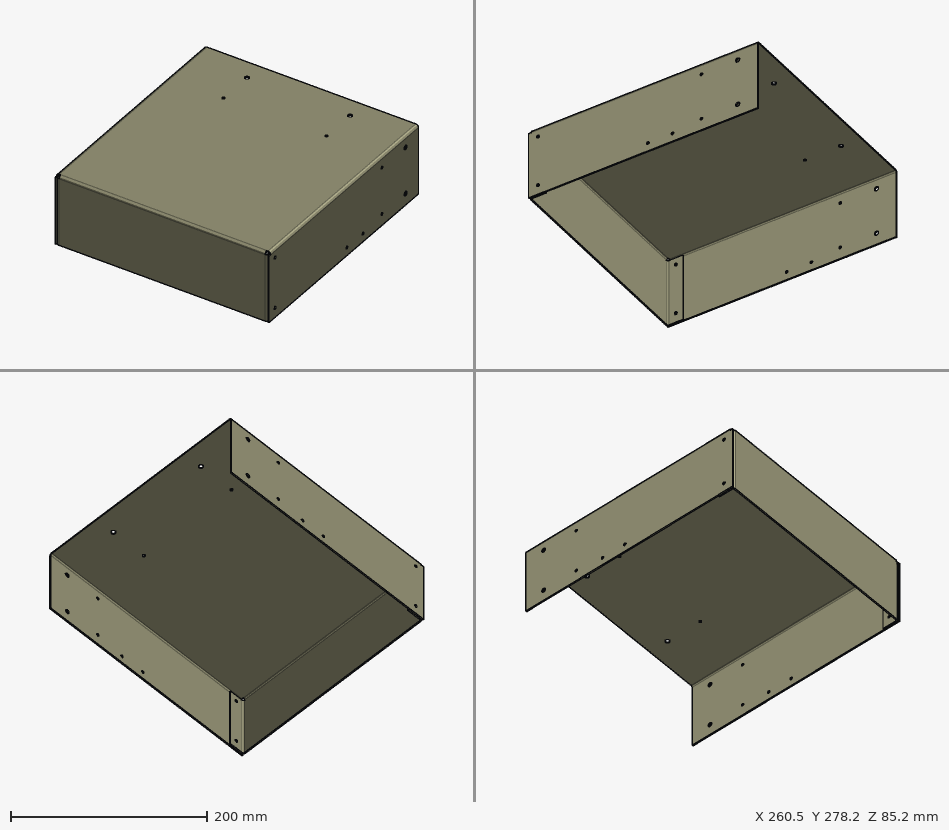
import cadquery as cq


width = 260.48
depth = 278.18
height = 85.24
sheet = 1.59
inner_radius = sheet
tab_gap = 0.06
tab_length = 20.0

large_dia = 5.0
small_dia = 3.0
tab_dia = 3.3

large_from_back = 24.0
small_from_back = 68.0
top_hole_spacing = 125.5
wall_hole_spacing = 56.8
lower_from_back = (103.2, 133.2)
lower_hole_z = 10.0
tab_hole_y = 11.4
tab_hole_spacing = 62.0

bend_radius = inner_radius + sheet
half_width = width / 2
mid_height = height / 2
bend_start_z = height - bend_radius
panel_half_width = half_width - sheet - tab_gap
relief_half_width = panel_half_width - bend_radius


def box(x_range, y_range, z_range):
    """Axis-aligned box from its limits along X, Y and Z."""
    (x0, x1), (y0, y1), (z0, z1) = x_range, y_range, z_range
    return cq.Workplane("XY").box(x1 - x0, y1 - y0, z1 - z0, centered=False).translate((x0, y0, z0))


def make_channel():
    """Top and side walls: an upside-down U running front to back."""
    outer = box((-half_width, half_width), (0, depth), (0, height))
    outer = outer.edges(">Z and |Y").fillet(bend_radius)
    inner_half = half_width - sheet
    inner = box((-inner_half, inner_half), (0, depth), (0, height - sheet))
    inner = inner.edges(">Z and |Y").fillet(inner_radius)
    front_strip = box((-half_width, half_width), (0, bend_radius), (bend_start_z, height))
    return outer.cut(inner).cut(front_strip)


def make_front_panel():
    """Front panel with the bend that joins it to the top."""
    x_range = (-relief_half_width, relief_half_width)
    outer = box(x_range, (0, depth), (0, height))
    outer = outer.edges(">Z and <Y").fillet(bend_radius)
    inner = box(x_range, (sheet, depth), (0, height - sheet))
    inner = inner.edges(">Z and <Y").fillet(inner_radius)
    front_strip = box(x_range, (0, bend_radius), (0, height))
    return outer.cut(inner).intersect(front_strip)


def make_tabs():
    """Tabs folded back from both ends of the front panel."""
    outer = box((-panel_half_width, panel_half_width), (0, tab_length), (0, bend_start_z))
    outer = outer.edges("<Y and |Z").fillet(bend_radius)
    inner_half = panel_half_width - sheet
    inner = box((-inner_half, inner_half), (sheet, tab_length), (0, bend_start_z))
    inner = inner.edges("<Y and |Z").fillet(inner_radius)
    return outer.cut(inner)


def drill_top(body, x, y, diameter):
    """Drill one hole through the top."""
    drill = cq.Workplane("XY", origin=(x, y, bend_start_z)).circle(diameter / 2).extrude(bend_radius)
    return body.cut(drill)


def drill_walls(body, y, z, diameter):
    """Drill one line through both side walls, and through the tabs where they overlap."""
    drill = cq.Workplane("YZ", origin=(-half_width, y, z)).circle(diameter / 2).extrude(width)
    return body.cut(drill)


def drill_rear_holes(body):
    """Large and small hole pairs near the back of the top and of each side wall."""
    for from_back, diameter in ((large_from_back, large_dia), (small_from_back, small_dia)):
        y = depth - from_back
        for side in (-1, 1):
            body = drill_top(body, side * top_hole_spacing / 2, y, diameter)
            body = drill_walls(body, y, mid_height + side * wall_hole_spacing / 2, diameter)
    return body


def drill_lower_holes(body):
    """Small holes along the lower edge of each side wall."""
    for from_back in lower_from_back:
        body = drill_walls(body, depth - from_back, lower_hole_z, small_dia)
    return body


def drill_tab_holes(body):
    """Holes that fasten the side walls to the tabs."""
    for side in (-1, 1):
        body = drill_walls(body, tab_hole_y, mid_height + side * tab_hole_spacing / 2, tab_dia)
    return body


cover = make_channel().union(make_front_panel()).union(make_tabs())
cover = drill_rear_holes(cover)
cover = drill_lower_holes(cover)
result = drill_tab_holes(cover)